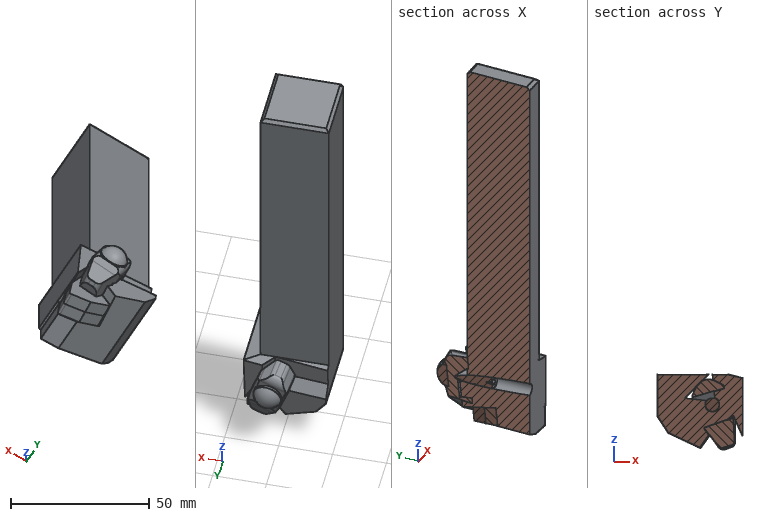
import cadquery as cq
import math

LENGTH = 151.9
SHANK = 25.4
CHAMFER = 1.2

HEAD_RIGHT = 31.0
HEAD_TOP = 31.3
HEAD_TOP_RIGHT = 30.0
HEAD_BACK = 33.4
HEAD_BACK_SLOPE = 0.5
LEFT_BEVEL_TOP = 16.1
LEFT_BEVEL_LOW = (4.0, 10.0)
SLANT_LOW = (22.6, 1.2)
HEAD_BOTTOM = 0.6
RELIEF_TOP = 9.3
RELIEF_DEPTH = 0.8

LEAN = 0.1
SEAT_ORIGIN = (24.5, 22.3, 7.0)
SEAT_NORMAL = (LEAN, 1, -LEAN)
SEAT_X = (1, -LEAN, 0)
SEAT = cq.Plane(origin=SEAT_ORIGIN, xDir=SEAT_X, normal=SEAT_NORMAL)
FAR = 60.8

LAND_HEIGHT = 4.3
LEDGE_HEIGHT = 0.2
LEDGE_CORNER = (-5.0, -15.8)
LEDGE_FLARE = 43.0

TRIGON_STEP = 60
INSCRIBED_RADIUS = 6.4
CORNER_ANGLE = 80.0
TIP_DIRECTION = 45.5
NOSE_RADIUS = 0.68
INSERT_THICKNESS = 4.7
SHIM_THICKNESS = 4.7

SCREW_AT = (-4.9, -13.5)
SCREW_RADIUS = 2.5
SCREW_END = -9.1
SCREW_SOCKET_RADIUS = 1.2
SCREW_SOCKET_DEPTH = 2.3
SCREW_HEAD_RADIUS = 5.3
SCREW_HEAD_BASE = 9.1
SCREW_HEAD_RIM = 10.6
SCREW_HEAD_TOP = 14.1

CLAMP_TAIL = -9.3
CLAMP_TAIL_HALF = 2.1
CLAMP_TAIL_CORNER = -5.2
CLAMP_HALF_WIDTH = 6.1
CLAMP_NOSE_CORNER = 5.3
CLAMP_NOSE = 16.4
CLAMP_NOSE_HALF = 2.7
CLAMP_CORNER_ROUND = 2.3
CLAMP_SIDE_ROUND = 2.7
CLAMP_TOP = 10.5
CLAMP_TAIL_TOP = 6.8
CLAMP_TAIL_ARC_MIDDLE = (-8.2, 8.8)
CLAMP_TAIL_ARC_END = (-6.0, 9.5)
CLAMP_SLOPE_START = 5.5
CLAMP_SLOPE_BREAK = (9.1, 9.1)
CLAMP_NOSE_TOP = 6.0
CLAMP_NOSE_LOW = 4.0
CLAMP_TOE = 13.7
CLAMP_HEEL = 7.0
CLAMP_UNDERSIDE = 4.9
CLAMP_ARCH = -1.8
CLAMP_FOOT = -4.9


def polar(radius, degrees):
    return (radius * math.cos(math.radians(degrees)), radius * math.sin(math.radians(degrees)))


def seat_at(height):
    """Workplane parallel to the seat, at a height above it."""
    return cq.Workplane(SEAT).workplane(offset=height)


def trigon_corners():
    """Six corners, alternately sharp and blunt, starting at the cutting tip."""
    sharp = INSCRIBED_RADIUS / math.sin(math.radians(CORNER_ANGLE / 2))
    blunt = INSCRIBED_RADIUS / math.sin(math.radians(2 * TRIGON_STEP - CORNER_ANGLE / 2))
    return [polar(sharp if i % 2 == 0 else blunt, TIP_DIRECTION + TRIGON_STEP * i) for i in range(6)]


def trigon_plate(bottom, thickness):
    """Six-sided plate with its three sharp corners rounded."""
    plate = seat_at(bottom).polyline(trigon_corners()).close().extrude(thickness)
    sharp_edges = cq.Workplane("XY")
    for corner in trigon_corners()[::2]:
        middle = seat_at(bottom + thickness / 2).plane.toWorldCoords(corner)
        sharp_edges = sharp_edges.add(plate.edges(cq.selectors.NearestToPointSelector(middle.toTuple())))
    return plate.newObject(sharp_edges.vals()).fillet(NOSE_RADIUS)


def make_insert():
    return trigon_plate(-INSERT_THICKNESS, INSERT_THICKNESS)


def make_shim():
    return trigon_plate(-INSERT_THICKNESS - SHIM_THICKNESS, SHIM_THICKNESS)


def make_screw():
    shank = (
        seat_at(SCREW_END)
        .center(*SCREW_AT)
        .circle(SCREW_RADIUS)
        .extrude(SCREW_HEAD_BASE - SCREW_END)
    )
    socket = (
        seat_at(SCREW_END)
        .center(*SCREW_AT)
        .polygon(6, 2 * SCREW_SOCKET_RADIUS)
        .extrude(SCREW_SOCKET_DEPTH)
    )
    dome_rise = SCREW_HEAD_TOP - SCREW_HEAD_RIM
    dome_radius = (SCREW_HEAD_RADIUS**2 + dome_rise**2) / (2 * dome_rise)
    half_way = math.asin(SCREW_HEAD_RADIUS / dome_radius) / 2
    dome_middle = (
        dome_radius * math.sin(half_way),
        SCREW_HEAD_TOP - dome_radius * (1 - math.cos(half_way)),
    )
    centre = SEAT.toWorldCoords(SCREW_AT).toTuple()
    side = cq.Plane(origin=centre, xDir=SEAT.xDir, normal=-SEAT.yDir)
    head = (
        cq.Workplane(side)
        .moveTo(0, SCREW_HEAD_BASE)
        .lineTo(SCREW_HEAD_RADIUS, SCREW_HEAD_BASE)
        .lineTo(SCREW_HEAD_RADIUS, SCREW_HEAD_RIM)
        .threePointArc(dome_middle, (0, SCREW_HEAD_TOP))
        .close()
        .revolve(360, (0, 0), (0, 1))
    )
    return shank.union(head).cut(socket)


def make_clamp(screw):
    along = -SEAT.xDir * SCREW_AT[0] - SEAT.yDir * SCREW_AT[1]
    centre = SEAT.toWorldCoords(SCREW_AT).toTuple()
    plan = cq.Plane(origin=centre, xDir=along, normal=SEAT.zDir)
    right_half = [
        (CLAMP_TAIL, CLAMP_TAIL_HALF),
        (CLAMP_TAIL_CORNER, CLAMP_HALF_WIDTH),
        (CLAMP_NOSE_CORNER, CLAMP_HALF_WIDTH),
        (CLAMP_NOSE, CLAMP_NOSE_HALF),
    ]
    left_half = [(x, -y) for x, y in reversed(right_half)]
    blank = cq.Workplane(plan).polyline(right_half + left_half).close().extrude(SCREW_HEAD_TOP)
    blank = blank.edges(cq.selectors.ParallelDirSelector(plan.zDir)).fillet(CLAMP_CORNER_ROUND)

    side = cq.Plane(origin=centre, xDir=along, normal=plan.xDir.cross(plan.zDir))
    section = (
        cq.Workplane(side)
        .moveTo(CLAMP_TAIL, LEDGE_HEIGHT)
        .lineTo(CLAMP_TAIL, CLAMP_TAIL_TOP)
        .threePointArc(CLAMP_TAIL_ARC_MIDDLE, CLAMP_TAIL_ARC_END)
        .lineTo(CLAMP_SLOPE_START, CLAMP_TOP)
        .lineTo(*CLAMP_SLOPE_BREAK)
        .lineTo(CLAMP_NOSE, CLAMP_NOSE_TOP)
        .lineTo(CLAMP_NOSE, CLAMP_NOSE_LOW)
        .lineTo(CLAMP_TOE, 0)
        .lineTo(CLAMP_HEEL, 0)
        .lineTo(CLAMP_HEEL, CLAMP_UNDERSIDE)
        .lineTo(CLAMP_ARCH, CLAMP_UNDERSIDE)
        .lineTo(CLAMP_FOOT, LEDGE_HEIGHT)
        .close()
        .extrude(2 * CLAMP_HALF_WIDTH, both=True)
    )

    bar_length = 2 * CLAMP_NOSE
    bar = cq.Workplane(plan).rect(bar_length, 2 * CLAMP_HALF_WIDTH).extrude(CLAMP_TOP)
    upper_sides = cq.selectors.ParallelDirSelector(along) & cq.selectors.DirectionMinMaxSelector(plan.zDir)
    bar = bar.edges(upper_sides).fillet(CLAMP_SIDE_ROUND)
    body = blank.intersect(section).intersect(bar)
    return body.cut(screw)


def make_shank():
    shank = cq.Workplane("XY").box(SHANK, SHANK, LENGTH, centered=False)
    return shank.edges("|Z and <X and <Y").chamfer(CHAMFER).faces(">Z").chamfer(CHAMFER)


def head_outline():
    """Outline of the head in X and Z, left open along the top."""
    return [
        (0, LEFT_BEVEL_TOP),
        LEFT_BEVEL_LOW,
        SLANT_LOW,
        (HEAD_RIGHT - RELIEF_DEPTH, HEAD_BOTTOM),
        (HEAD_RIGHT - RELIEF_DEPTH, RELIEF_TOP - RELIEF_DEPTH),
        (HEAD_RIGHT, RELIEF_TOP),
        (HEAD_RIGHT, HEAD_TOP_RIGHT),
        (SHANK, HEAD_TOP),
    ]


def make_holder(inner_bodies):
    outline = head_outline() + [(0, HEAD_TOP)]
    head = cq.Workplane("XZ").polyline(outline).close().extrude(-HEAD_BACK)

    drop = HEAD_BACK_SLOPE * (HEAD_BACK - SHANK)
    upper_end = [(SHANK, HEAD_TOP), (HEAD_BACK, HEAD_TOP - drop), (HEAD_BACK, HEAD_TOP)]
    head = head.cut(cq.Workplane("YZ").polyline(upper_end).close().extrude(HEAD_RIGHT))

    head = head.cut(seat_at(LAND_HEIGHT).rect(2 * FAR, 2 * FAR).extrude(FAR))

    trim_outline = head_outline() + [(SHANK, LENGTH), (0, LENGTH)]
    trim = cq.Workplane("XZ").polyline(trim_outline).close().extrude(-SHANK)
    holder = make_shank().intersect(trim)

    corner_bevel = (
        cq.Workplane("XY")
        .polyline([(0, 0), (CHAMFER, 0), (0, CHAMFER)])
        .close()
        .extrude(LENGTH)
    )
    holder = holder.union(head).cut(corner_bevel)

    ledge_size = FAR / 2
    ledge = (
        seat_at(LEDGE_HEIGHT)
        .center(LEDGE_CORNER[0] - ledge_size / 2, LEDGE_CORNER[1] - ledge_size / 2)
        .rect(ledge_size, ledge_size)
        .extrude(LAND_HEIGHT, taper=-LEDGE_FLARE)
    )
    beyond_shank = cq.Workplane("XY").box(FAR, FAR, HEAD_TOP, centered=False).translate((0, SHANK, 0))
    holder = holder.cut(ledge.intersect(beyond_shank))

    _, _, left, inner, top, right = trigon_corners()
    open_side = [(FAR, right[1]), (FAR, FAR), (left[0], FAR)]
    pocket = (
        seat_at(-INSERT_THICKNESS - SHIM_THICKNESS)
        .polyline([left, inner, top, right] + open_side)
        .close()
        .extrude(FAR)
    )
    holder = holder.cut(pocket)

    hole = seat_at(-FAR).center(*SCREW_AT).circle(SCREW_RADIUS).extrude(2 * FAR)
    holder = holder.cut(hole)

    for body in inner_bodies:
        holder = holder.cut(body)
    return holder


insert = make_insert()
shim = make_shim()
screw = make_screw()
clamp = make_clamp(screw)
holder = make_holder([insert, shim, clamp])

bodies = [holder, shim, insert, clamp, screw]
result = cq.Compound.makeCompound([body.solids().val() for body in bodies])